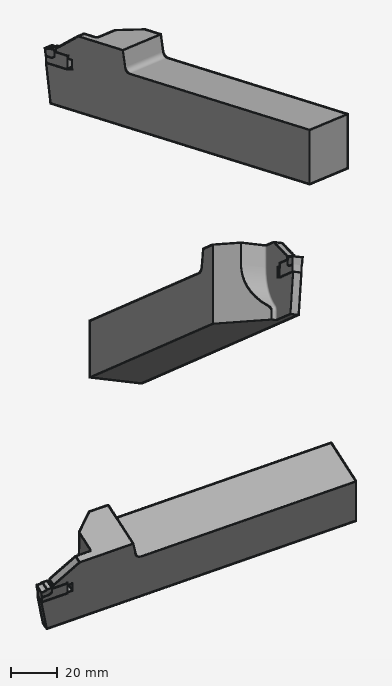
import cadquery as cq
import math

total_length = 150.0
shank_size = 25.0
head_height = 35.0

toe_x = 2.8
seat_front_x = 0.3
jaw_front_x = 6.0
jaw_front_z = 26.2
head_top_front_x = 18.5
head_top_back_x = 44.0
head_back_angle = 10.0
head_back_radius = 2.7

blade_thickness = 4.0
relief_top_x = 25.8
relief_foot_x = 16.0
relief_arc_radius = 25.0
relief_foot_radius = 3.0
relief_root_radius = 0.9
bevel_back_x = 34.8

seat_floor_z = 18.2
seat_top_z = 24.5
seat_end_x = 12.8
window_end_x = 15.0
window_floor_z = 18.6
window_top_z = 23.1

cutting_width = 5.0
side_overhang = (cutting_width - blade_thickness) / 2
body_overhang = 0.2
edge_z = 24.9
chip_groove_depth = 0.2
chip_ridge_x = 2.8
insert_top_z = 25.4
cutting_head_back_x = 5.2
cutting_head_floor_z = 21.3
cutting_head_chamfer_x = 1.5
cutting_head_chamfer_z = 0.9
front_relief = 0.5
side_relief_back = 0.035
side_relief_down = 0.04

clearance = 7.5


def side_plate(outline, front_y, back_y):
    """Extrude an XZ outline between two Y positions."""
    return outline.extrude(front_y - back_y).translate((0, front_y, 0))


def side_box(x_start, x_end, z_start, z_end, overhang=0.0):
    """Box spanning the blade thickness, plus an overhang on both sides."""
    return cq.Workplane("XY").box(
        x_end - x_start, blade_thickness + 2 * overhang, z_end - z_start, centered=False
    ).translate((x_start, -overhang, z_start))


def make_holder_blank():
    lean = (head_height - shank_size) * math.tan(math.radians(head_back_angle))
    head_back_foot_x = head_top_back_x + lean
    outline = cq.Workplane("XZ").polyline([
        (toe_x, 0),
        (total_length, 0),
        (total_length, shank_size),
        (head_back_foot_x, shank_size),
        (head_top_back_x, head_height),
        (head_top_front_x, head_height),
        (jaw_front_x, jaw_front_z),
        (jaw_front_x, seat_floor_z),
        (seat_front_x, seat_floor_z),
    ]).close()
    blank = side_plate(outline, 0, shank_size)
    root = cq.selectors.NearestToPointSelector((head_back_foot_x, shank_size / 2, shank_size))
    return blank.edges(root).fillet(head_back_radius)


def make_relief_cutter():
    """Space behind the blade, bounded by a wall that curves down and forward."""
    open_run = 4 * clearance
    arc_center_x = relief_top_x - relief_arc_radius

    def arc_point(angle):
        return (
            arc_center_x + relief_arc_radius * math.cos(angle),
            shank_size - relief_arc_radius * math.sin(angle),
        )

    arc_end_angle = math.acos((relief_foot_x - arc_center_x) / relief_arc_radius)
    arc_end = arc_point(arc_end_angle)
    outline = (
        cq.Workplane("XZ")
        .moveTo(-open_run, head_height + open_run)
        .lineTo(relief_top_x, head_height + open_run)
        .lineTo(relief_top_x, shank_size)
        .threePointArc(arc_point(arc_end_angle / 2), arc_end)
        .lineTo(relief_foot_x, -clearance)
        .lineTo(-open_run, -clearance)
        .close()
    )
    cutter = side_plate(outline, blade_thickness, shank_size + clearance)
    foot = cq.selectors.NearestToPointSelector((arc_end[0], shank_size / 2, arc_end[1]))
    cutter = cutter.edges(foot).fillet(relief_foot_radius)
    wall_root = cq.selectors.BoxSelector(
        (relief_foot_x - relief_foot_radius, 0, -clearance),
        (total_length, shank_size, head_height),
    )
    return cutter.faces("<Y").edges(wall_root).fillet(relief_root_radius)


def make_bevel_cutter():
    """45 degree corner between the relief and the rear side."""
    left_end = -clearance
    return (
        cq.Workplane("XY", origin=(0, 0, -clearance))
        .polyline([
            (bevel_back_x + clearance, shank_size + clearance),
            (bevel_back_x - shank_size + blade_thickness, blade_thickness),
            (left_end, blade_thickness),
            (left_end, shank_size + clearance),
        ])
        .close()
        .extrude(head_height + 2 * clearance)
    )


def make_holder():
    seat = side_box(-clearance, seat_end_x, seat_floor_z, seat_top_z)
    window = side_box(seat_end_x, window_end_x, window_floor_z, window_top_z)
    holder = make_holder_blank().cut(make_relief_cutter()).cut(make_bevel_cutter())
    return holder.cut(seat).cut(window)


def make_side_relief_cutter():
    """Block trimming the front side of the cutting head along one tilted plane."""
    tilted_plane = cq.Plane(
        origin=(0, -side_overhang, edge_z),
        xDir=(1, side_relief_back, 0),
        normal=(side_relief_back, -1, -side_relief_down),
    )
    block_side = 4 * clearance
    return cq.Workplane(tilted_plane).rect(block_side, block_side).extrude(clearance)


def make_insert():
    body = side_box(front_relief, seat_end_x, seat_floor_z, seat_top_z, body_overhang)
    chamfer_start_x = cutting_head_back_x - cutting_head_chamfer_x
    groove_middle = (chip_ridge_x / 2, edge_z - chip_groove_depth)
    head_outline = (
        cq.Workplane("XZ")
        .moveTo(front_relief, cutting_head_floor_z)
        .lineTo(chamfer_start_x, cutting_head_floor_z)
        .lineTo(cutting_head_back_x, cutting_head_floor_z + cutting_head_chamfer_z)
        .lineTo(cutting_head_back_x, insert_top_z)
        .lineTo(chip_ridge_x, insert_top_z)
        .threePointArc(groove_middle, (0, edge_z))
        .close()
    )
    cutting_head = side_plate(head_outline, -side_overhang, blade_thickness + side_overhang)
    front_cutter = make_side_relief_cutter()
    back_cutter = front_cutter.mirror("XZ", (0, blade_thickness / 2, 0))
    cutting_head = cutting_head.cut(front_cutter).cut(back_cutter)
    return body.union(cutting_head)


holder = make_holder()
insert = make_insert()
result = cq.Compound.makeCompound([holder.solids().val(), insert.solids().val()])